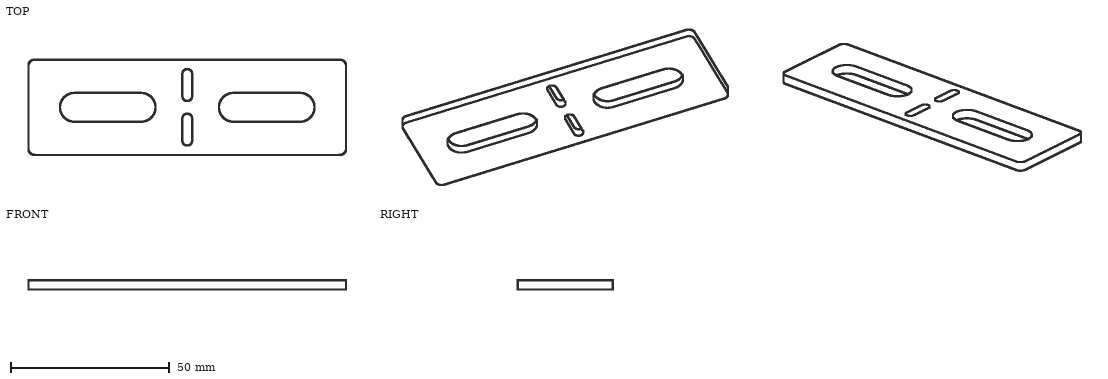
import cadquery as cq

plate_length = 100.0
plate_width = 30.0
plate_thickness = 3.0
corner_radius = 2.0

long_slot_length = 30.0
long_slot_width = 9.0
long_slot_offset = plate_length / 4

short_slot_length = 10.0
short_slot_width = 3.0
short_slot_offset = 7.0


def make_plate():
    """Flat plate with rounded vertical corners, resting on Z = 0."""
    plate = cq.Workplane("XY").box(
        plate_length, plate_width, plate_thickness, centered=(True, True, False)
    )
    return plate.edges("|Z").fillet(corner_radius)


def make_slots(centers, length, width, angle):
    """Round-ended cutters through the plate thickness, turned by angle from X."""
    return (
        cq.Workplane("XY")
        .pushPoints(centers)
        .slot2D(length, width, angle)
        .extrude(plate_thickness)
    )


long_slot_centers = [(side * long_slot_offset, 0) for side in (-1, 1)]
short_slot_centers = [(0, side * short_slot_offset) for side in (-1, 1)]

long_slots = make_slots(long_slot_centers, long_slot_length, long_slot_width, angle=0)
short_slots = make_slots(short_slot_centers, short_slot_length, short_slot_width, angle=90)

result = make_plate().cut(long_slots).cut(short_slots)